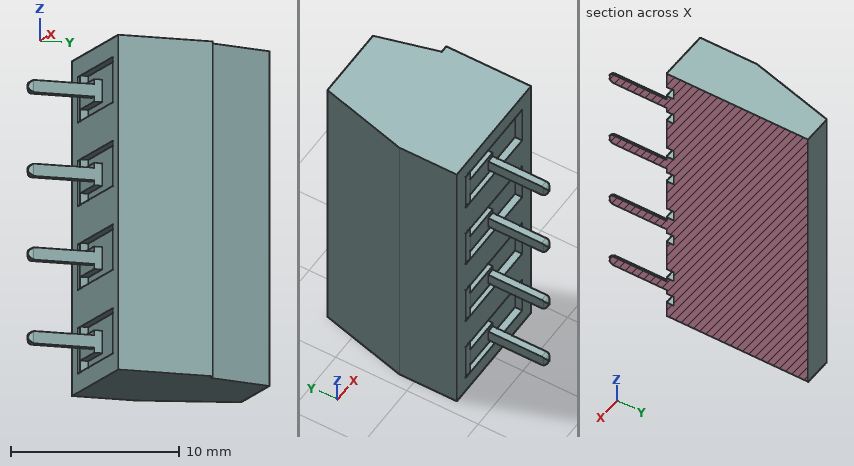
import cadquery as cq


POLE_COUNT = 4
POLE_PITCH = 5.08
HOUSING_WIDTH = 8.3
HOUSING_DEPTH = 10.09
HOUSING_HEIGHT = POLE_COUNT * POLE_PITCH
LEFT_SLOPE_START_Y = 4.05
LEDGE_Y = 5.95
LEDGE_WIDTH = 0.5
BACK_LEFT_X = 1.6
BACK_RIGHT_X = 6.7

POCKET_LEFT_X = 1.0
POCKET_WIDTH = 6.3
POCKET_HEIGHT = 2.75
POCKET_DEPTH = 0.5

BEND_RADIUS = POCKET_DEPTH
BEND_CENTRE_X = POCKET_LEFT_X + BEND_RADIUS
PLATE_HEIGHT = 1.36

PIN_THICKNESS = 0.5
PIN_HEIGHT = 0.75
PIN_LENGTH = 4.11
PIN_CENTRE_X = 3.75
PLATE_RIGHT_X = PIN_CENTRE_X + PIN_THICKNESS / 2


def box(left, front, bottom, width, depth, height):
    """Box given by its lowest corner and its size along X, Y and Z."""
    return cq.Workplane("XY").box(width, depth, height, centered=False).translate((left, front, bottom))


def make_housing():
    """Housing profile, sloped on both sides towards the back, extruded along the row of poles."""
    outline = [
        (0, 0),
        (HOUSING_WIDTH, 0),
        (HOUSING_WIDTH, LEDGE_Y),
        (HOUSING_WIDTH - LEDGE_WIDTH, LEDGE_Y),
        (BACK_RIGHT_X, HOUSING_DEPTH),
        (BACK_LEFT_X, HOUSING_DEPTH),
        (0, LEFT_SLOPE_START_Y),
    ]
    return cq.Workplane("XY").polyline(outline).close().extrude(HOUSING_HEIGHT)


def make_pocket(pole_z):
    """Shallow rectangular recess in the mounting face."""
    bottom = pole_z - POCKET_HEIGHT / 2
    return box(POCKET_LEFT_X, 0, bottom, POCKET_WIDTH, POCKET_DEPTH, POCKET_HEIGHT)


def make_contact(pole_z):
    """Quarter-round bend along the left end of the pocket, with a flat plate reaching to the pin."""
    bend = (
        cq.Workplane("XY", origin=(BEND_CENTRE_X, BEND_RADIUS, pole_z))
        .circle(BEND_RADIUS)
        .extrude(POCKET_HEIGHT / 2, both=True)
    )
    quarter_bend = bend.intersect(
        box(POCKET_LEFT_X, 0, pole_z - POCKET_HEIGHT / 2, BEND_RADIUS, BEND_RADIUS, POCKET_HEIGHT)
    )
    plate_width = PLATE_RIGHT_X - BEND_CENTRE_X
    plate = box(BEND_CENTRE_X, 0, pole_z - PLATE_HEIGHT / 2, plate_width, POCKET_DEPTH, PLATE_HEIGHT)
    return quarter_bend.union(plate)


def round_ended_strip(plane, origin, width, thickness):
    """Strip from the pocket floor to the pin tip, ending in a half circle across its width."""
    radius = width / 2
    return (
        cq.Workplane(plane, origin=origin)
        .moveTo(-radius, POCKET_DEPTH)
        .lineTo(-radius, radius - PIN_LENGTH)
        .threePointArc((0, -PIN_LENGTH), (radius, radius - PIN_LENGTH))
        .lineTo(radius, POCKET_DEPTH)
        .close()
        .extrude(thickness / 2, both=True)
    )


def make_pin(pole_z):
    """Rectangular pin whose tip is rounded across both its thickness and its height."""
    centre = (PIN_CENTRE_X, 0, pole_z)
    across_thickness = round_ended_strip("XY", centre, PIN_THICKNESS, PIN_HEIGHT)
    across_height = round_ended_strip("ZY", centre, PIN_HEIGHT, PIN_THICKNESS)
    return across_thickness.intersect(across_height)


result = make_housing()
for pole in range(POLE_COUNT):
    pole_centre_z = (pole + 0.5) * POLE_PITCH
    result = result.cut(make_pocket(pole_centre_z))
    result = result.union(make_contact(pole_centre_z))
    result = result.union(make_pin(pole_centre_z))